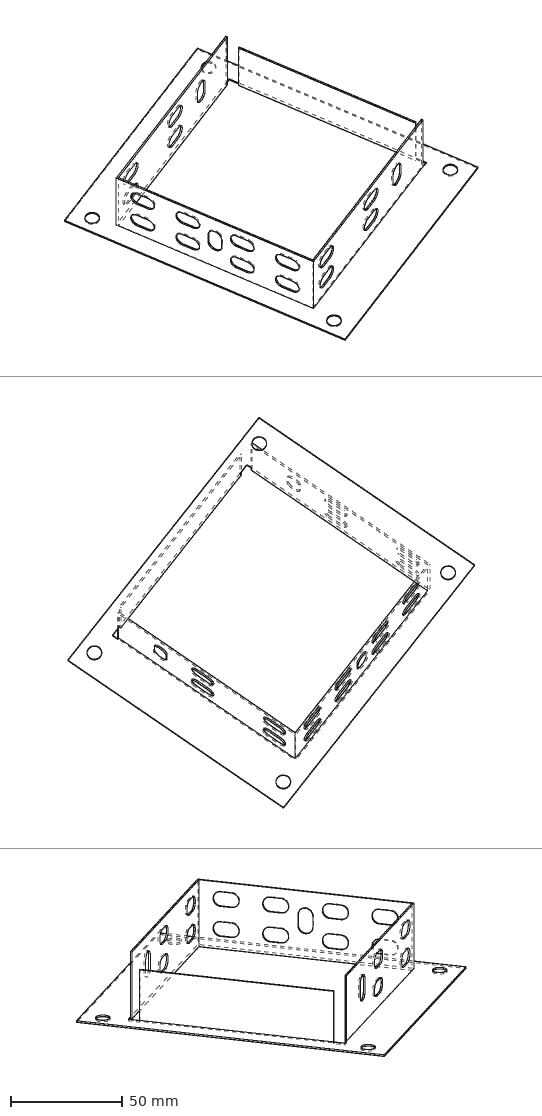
import cadquery as cq

flange_length = 145.0
flange_width = 120.0
total_height = 32.0
sheet = 0.8
opening = 102.0

hole_diameter = 6.5
hole_pitch_x = 125.0
hole_pitch_y = 105.1

side_wall_setback = 2.9
rear_wall_setback = 5.2
rear_wall_height = 25.0

slot_length = 12.2
slot_width = 7.0
upright_slot_z = 18.0

front_row_heights = (9.5, 23.9)
front_slot_offsets = (14.0, 37.4)
side_row_heights = (10.2, 23.6)
side_slot_offsets = (12.2, 52.2)
side_upright_slot_offset = 75.5

half_opening = opening / 2
inner_face = half_opening - sheet
side_wall_end = half_opening - side_wall_setback
rear_wall_end = half_opening - rear_wall_setback

lying_angle = 0
upright_angle = 90


def make_flange():
    return (
        cq.Workplane("XY")
        .rect(flange_length, flange_width)
        .rect(opening, opening)
        .extrude(sheet)
        .faces(">Z")
        .workplane()
        .rect(hole_pitch_x, hole_pitch_y, forConstruction=True)
        .vertices()
        .hole(hole_diameter)
    )


def make_plate(x_min, x_max, y_min, y_max, height):
    """Upright plate over the given plan rectangle, from the flange underside up."""
    return (
        cq.Workplane("XY")
        .box(x_max - x_min, y_max - y_min, height, centered=False)
        .translate((x_min, y_min, 0))
    )


def slot_cutters(plane, positions, angle):
    """Slots centred on the positions, running through the part on both sides of the plane."""
    return (
        cq.Workplane(plane)
        .pushPoints(positions)
        .slot2D(slot_length, slot_width, angle)
        .extrude(opening, both=True)
    )


def cut_slots(wall, plane, lying_positions, upright_position):
    wall = wall.cut(slot_cutters(plane, lying_positions, lying_angle))
    return wall.cut(slot_cutters(plane, [upright_position], upright_angle))


def make_front_wall():
    wall = make_plate(-half_opening, half_opening, -half_opening, -inner_face, total_height)
    positions = [(side * x, z) for side in (-1, 1) for x in front_slot_offsets for z in front_row_heights]
    return cut_slots(wall, "XZ", positions, (0, upright_slot_z))


def make_left_wall():
    wall = make_plate(-half_opening, -inner_face, -half_opening, side_wall_end, total_height)
    positions = [(y - half_opening, z) for y in side_slot_offsets for z in side_row_heights]
    upright_y = side_upright_slot_offset - half_opening
    return cut_slots(wall, "YZ", positions, (upright_y, upright_slot_z))


def make_rear_wall():
    return make_plate(-rear_wall_end, rear_wall_end, inner_face, half_opening, rear_wall_height)


left_wall = make_left_wall()
right_wall = left_wall.mirror("YZ")

result = make_flange()
for wall in (make_front_wall(), left_wall, right_wall, make_rear_wall()):
    result = result.union(wall)